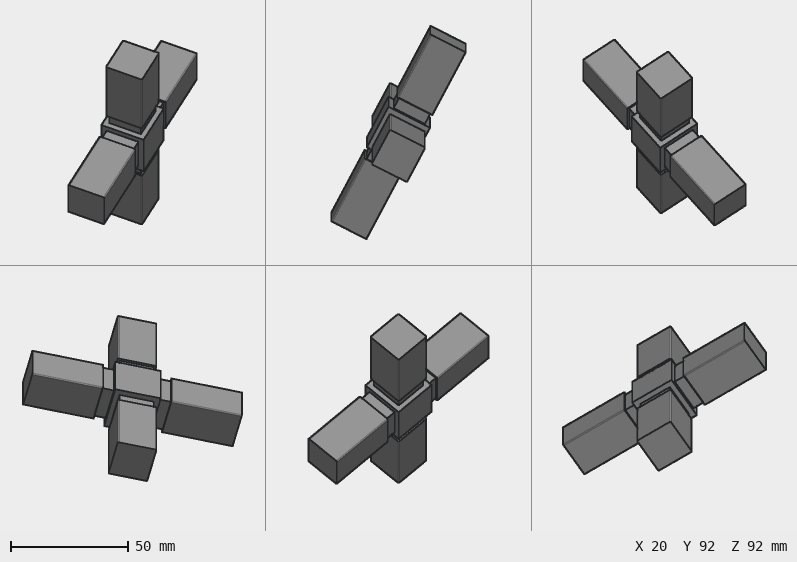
import cadquery as cq

span = 92.0
hub_side = 20.0
neck_side = 15.0
neck_length = 5.1
plug_side = 17.0
edge_radius = 0.5

hub_half = hub_side / 2
plug_start = hub_half + neck_length
plug_length = span / 2 - plug_start


def make_arm():
    """Arm pointing along +Z: a neck rooted at the hub centre, then a plug."""
    neck = cq.Workplane("XY").rect(neck_side, neck_side).extrude(plug_start)
    plug = (
        cq.Workplane("XY")
        .workplane(offset=plug_start)
        .rect(plug_side, plug_side)
        .extrude(plug_length)
        .edges("|Z")
        .fillet(edge_radius)
    )
    return neck.union(plug)


arm = make_arm()
result = cq.Workplane("XY").box(hub_side, hub_side, hub_side)
for angle in (0, 90, 180, 270):
    result = result.union(arm.rotate((0, 0, 0), (1, 0, 0), angle))